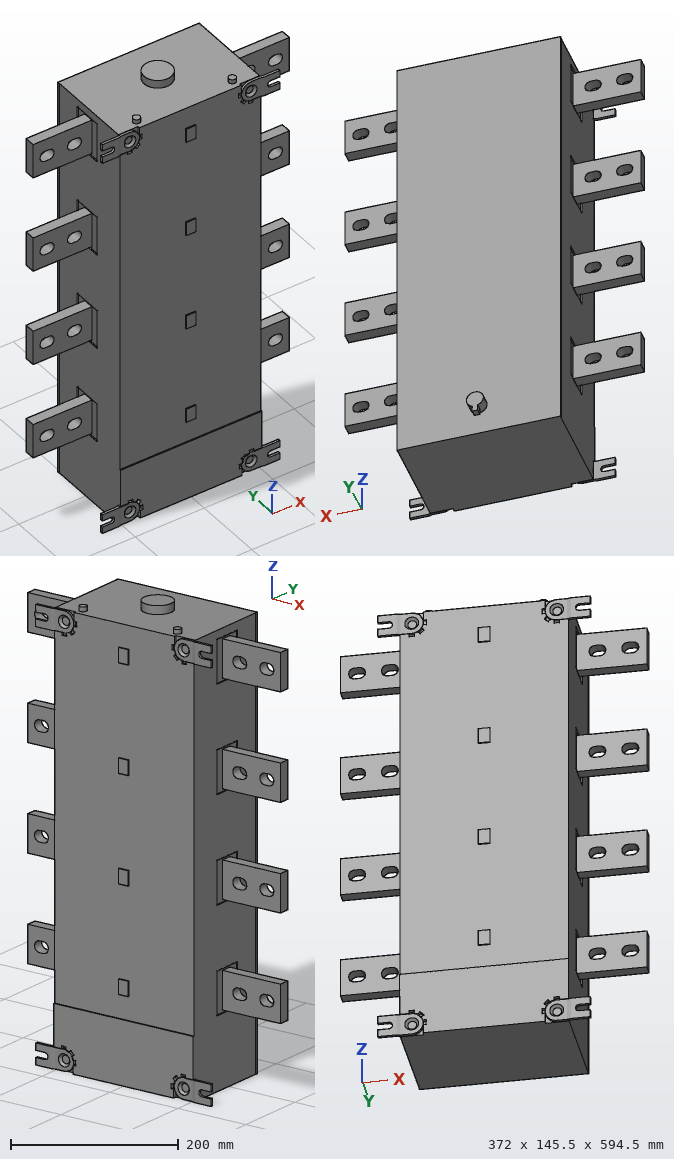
import cadquery as cq

total_height = 594.5
total_depth = 145.5
top_knob_height = 11.0
back_knob_height = 14.0
housing_height = total_height - top_knob_height
housing_depth = total_depth - back_knob_height
housing_width = 205.0
back_cover_width = 205.5
back_cover_thickness = 3.5

front_step = 2.0
lower_cover_height = 84.0

bar_span = 372.0
bar_thickness = 15.0
bar_height = 50.0
bar_levels = 4
bar_pitch = 140.0
lowest_bar_z = 124.0
bar_axis_y = 70.0
bar_slot_offsets = (126.0, 166.0)
bar_slot_length = 20.0
bar_slot_height = 15.0

window_width = 41.5
window_height = 56.5
window_depth = 2.0

marker_width = 14.0
marker_height = 19.5

top_knob_diameter = 40.0
pin_diameter = 10.0
pin_height = 6.0
pin_offset_x = 69.5
pin_y = 14.0

back_knob_diameter = 21.5
back_knob_z = 41.5
lug_width = 7.0
lug_thickness = 9.0
lug_tip_z = 24.0

bracket_height = 28.0
bracket_thickness = 3.5
bracket_plate_y = 1.0
bracket_span = 258.0
bracket_center_x = 88.0
bracket_end_gap = 0.5
jog_inner_x = 101.0
jog_outer_x = 106.0
tab_slot_depth = 18.0
tab_slot_width = 9.0
countersink_radius = 8.5
screw_hole_radius = 5.5
notch_reach = 18.0
notch_width = 6.5
notch_angles = (0, 45, 90)

bracket_radius = bracket_height / 2
pocket_floor_y = bracket_plate_y + bracket_thickness
upper_bracket_z = housing_height - bracket_end_gap - bracket_radius
lower_bracket_z = bracket_end_gap + bracket_radius
bar_heights = [lowest_bar_z + level * bar_pitch for level in range(bar_levels)]


def block(x_range, y_range, z_range):
    """Box between two limits on each axis; the limits may come in either order."""
    limits = [sorted(pair) for pair in (x_range, y_range, z_range)]
    sizes = [high - low for low, high in limits]
    corner = tuple(low for low, high in limits)
    return cq.Workplane("XY").box(*sizes, centered=False).translate(corner)


def centered_span(middle, length):
    return (middle - length / 2, middle + length / 2)


def y_cylinder(x, z, radius, y_start, y_end):
    """Cylinder along +Y from y_start to y_end."""
    start = cq.Vector(x, y_start, z)
    return cq.Workplane(cq.Solid.makeCylinder(radius, y_end - y_start, start, cq.Vector(0, 1, 0)))


def z_post(x, y, diameter, height):
    """Round post standing on the top face."""
    return cq.Workplane("XY", origin=(x, y, housing_height)).circle(diameter / 2).extrude(height)


def make_housing():
    cover_front_y = housing_depth - back_cover_thickness
    body_span = centered_span(0, housing_width)
    body = block(body_span, (front_step, cover_front_y), (0, housing_height))
    lower_cover = block(body_span, (0, front_step), (0, lower_cover_height))
    back_cover = block(
        centered_span(0, back_cover_width), (cover_front_y, housing_depth), (0, housing_height)
    )
    return body.union(lower_cover).union(back_cover)


def make_window(side, z):
    face_x = side * housing_width / 2
    return block(
        (face_x - side * window_depth, face_x),
        centered_span(bar_axis_y, window_width),
        centered_span(z, window_height),
    )


def make_bar(z):
    """Busbar running through the housing, with two slots at each end."""
    bar = block(
        centered_span(0, bar_span),
        centered_span(bar_axis_y, bar_thickness),
        centered_span(z, bar_height),
    )
    slot_centers = [(side * offset, 0) for side in (-1, 1) for offset in bar_slot_offsets]
    slots = (
        cq.Workplane("XZ", origin=(0, bar_axis_y, z))
        .pushPoints(slot_centers)
        .slot2D(bar_slot_length, bar_slot_height)
        .extrude(bar_thickness, both=True)
    )
    return bar.cut(slots)


def make_marker(z):
    return block(centered_span(0, marker_width), (0, front_step), centered_span(z, marker_height))


def make_back_knob():
    radius = back_knob_diameter / 2
    knob = y_cylinder(0, back_knob_z, radius, housing_depth, total_depth)
    lug = block(
        centered_span(0, lug_width),
        (total_depth - lug_thickness, total_depth),
        (lug_tip_z, back_knob_z),
    )
    return knob.union(lug)


def make_pocket(side, end, center_z):
    """Corner pocket, open to the housing side and end, with notches in its rounded corner.

    side is the sign of X; end is +1 at the top of the housing and -1 at the bottom.
    """
    center_x = side * bracket_center_x
    outer_x = side * housing_width / 2
    inner_x = center_x - side * bracket_radius
    end_z = housing_height if end > 0 else 0
    depth = (0, pocket_floor_y)
    pocket = y_cylinder(center_x, center_z, bracket_radius, 0, pocket_floor_y)
    pocket = pocket.union(block((center_x, outer_x), depth, (center_z - end * bracket_radius, end_z)))
    pocket = pocket.union(block((inner_x, center_x), depth, (center_z, end_z)))
    for angle in notch_angles:
        notch = block((0, -side * notch_reach), depth, centered_span(0, notch_width))
        notch = notch.rotate((0, 0, 0), (0, 1, 0), -side * end * angle)
        pocket = pocket.union(notch.translate((center_x, 0, center_z)))
    return pocket


def make_bracket(side, center_z):
    tip_x = bracket_span / 2
    profile = [
        (bracket_center_x, bracket_plate_y),
        (jog_inner_x, bracket_plate_y),
        (jog_outer_x, 0),
        (tip_x, 0),
        (tip_x, bracket_thickness),
        (jog_outer_x, bracket_thickness),
        (jog_inner_x, pocket_floor_y),
        (bracket_center_x, pocket_floor_y),
    ]
    plate = cq.Workplane("XY").polyline(profile).close().extrude(bracket_radius, both=True)
    bracket = plate.union(y_cylinder(bracket_center_x, 0, bracket_radius, bracket_plate_y, pocket_floor_y))

    slot_radius = tab_slot_width / 2
    slot_end_x = tip_x - tab_slot_depth + slot_radius
    slot = block((slot_end_x, tip_x), (0, bracket_thickness), centered_span(0, tab_slot_width))
    slot = slot.union(y_cylinder(slot_end_x, 0, slot_radius, 0, bracket_thickness))

    countersink = cq.Workplane(
        cq.Solid.makeCone(
            countersink_radius,
            screw_hole_radius,
            bracket_thickness,
            cq.Vector(bracket_center_x, bracket_plate_y, 0),
            cq.Vector(0, 1, 0),
        )
    )
    bracket = bracket.cut(slot).cut(countersink)
    if side < 0:
        bracket = bracket.mirror("YZ")
    return bracket.translate((0, 0, center_z))


result = make_housing()

for bar_z in bar_heights:
    for side in (-1, 1):
        result = result.cut(make_window(side, bar_z))
    result = result.union(make_bar(bar_z)).union(make_marker(bar_z))

result = result.union(z_post(0, bar_axis_y, top_knob_diameter, top_knob_height))
for side in (-1, 1):
    result = result.union(z_post(side * pin_offset_x, pin_y, pin_diameter, pin_height))
result = result.union(make_back_knob())

for side in (-1, 1):
    for end, bracket_z in ((1, upper_bracket_z), (-1, lower_bracket_z)):
        result = result.cut(make_pocket(side, end, bracket_z))
        result = result.union(make_bracket(side, bracket_z))